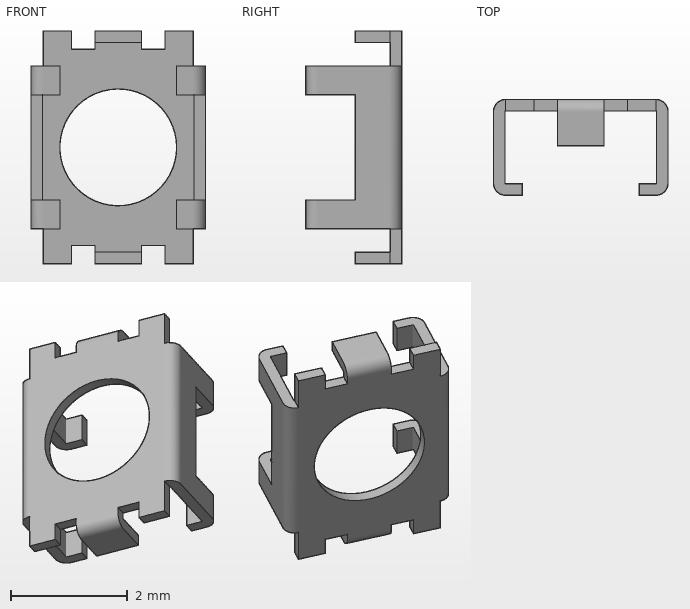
import cadquery as cq

width = 3.0
depth = 1.65
height = 4.0
sheet = 0.2
inner_radius = 0.01
outer_radius = sheet + inner_radius

hole_diameter = 2.0
tab_width = 0.8
notch_span = 1.6
notch_depth = 0.31
plate_width = width - 2 * outer_radius

wall_height = 2.8
leg_height = 0.5
foot_length = 0.5
web_depth = 0.8

back = depth / 2


def block(x_size, y_range, z_size, z_center=0.0):
    """Box centred on X, spanning y_range."""
    y_min, y_max = y_range
    return (
        cq.Workplane("XY")
        .box(x_size, y_max - y_min, z_size)
        .translate((0, (y_min + y_max) / 2, z_center))
    )


def clip_body():
    """C-shaped channel with the space between its legs removed."""
    outer = block(width, (-back, back), wall_height).edges("|Z").fillet(outer_radius)
    inner = block(width - 2 * sheet, (-back + sheet, back - sheet), wall_height)
    inner = inner.edges("|Z").fillet(inner_radius)
    mouth = block(width - 2 * foot_length, (-back, 0), wall_height)
    leg_gap = block(width, (-back, back - web_depth), wall_height - 2 * leg_height)
    return outer.cut(inner).cut(mouth).cut(leg_gap)


def back_plate():
    """Flat plate with a notched opening for the tab at each end."""
    plate = block(plate_width, (back - sheet, back), height)
    for side in (-1, 1):
        notch_center = side * (height - notch_depth) / 2
        plate = plate.cut(block(notch_span, (back - sheet, back), notch_depth, notch_center))
    return plate


def top_tab():
    """Tab bent forward from the top end of the plate."""
    top = height / 2
    root = top - notch_depth
    inner_face = back - sheet
    bend_y = back - outer_radius
    bend_z = top - outer_radius
    diagonal = 0.5 ** 0.5
    return (
        cq.Workplane("YZ")
        .moveTo(back, root)
        .lineTo(back, bend_z)
        .threePointArc(
            (bend_y + outer_radius * diagonal, bend_z + outer_radius * diagonal),
            (bend_y, top),
        )
        .lineTo(back - web_depth, top)
        .lineTo(back - web_depth, top - sheet)
        .lineTo(bend_y, top - sheet)
        .threePointArc(
            (bend_y + inner_radius * diagonal, bend_z + inner_radius * diagonal),
            (inner_face, bend_z),
        )
        .lineTo(inner_face, root)
        .close()
        .extrude(tab_width / 2, both=True)
    )


tab = top_tab()
hole = cq.Workplane("XZ").circle(hole_diameter / 2).extrude(depth, both=True)
hole = hole.intersect(block(width, (back - sheet, back), height))

result = clip_body().union(back_plate()).union(tab).union(tab.mirror("XY")).cut(hole)